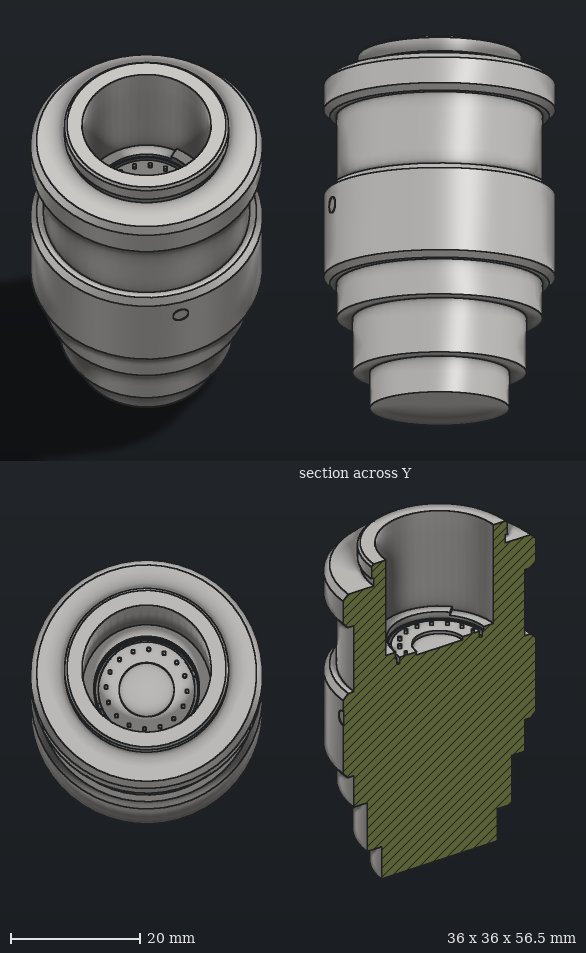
import cadquery as cq

total_height = 56.5
tail_diameter = 21.7
tail_top = 5.7
lower_step_diameter = 27.0
lower_step_top = 14.35
body_diameter = 32.0
grip_diameter = 36.0
grip_bottom = 19.95
grip_top = 35.0
flange_bottom = 46.6
flange_top = 52.6
grip_chamfer = 0.95
neck_diameter = 24.6
rim_diameter = 25.4
rim_bottom = 53.95
rim_chamfer = 0.4

bore_diameter = 20.0
ledge_z = 39.55
sector_start_angle = 135.0
key_sector_drop = 0.55
seat_diameter = 16.4
seat_z = 38.4
gap_diameter = 15.95
gap_floor_z = 37.3
insert_diameter = 15.0
rib_width = 0.9
rib_drop = 0.3
core_recess_diameter = 8.55
core_recess_depth = 0.55

pin_count = 16
pin_circle_diameter = 12.55
pin_diameter = 0.55
pin_height = 0.55

mark_diameter = 2.5
mark_depth = 0.1
mark_z = 30.85


def cylinder(diameter, bottom, top):
    return cq.Workplane("XY").workplane(offset=bottom).circle(diameter / 2).extrude(top - bottom)


def chamfered_ring(bottom, top):
    return cylinder(grip_diameter, bottom, top).edges("%CIRCLE").chamfer(grip_chamfer)


def make_body():
    body = cylinder(tail_diameter, 0, tail_top)
    body = body.union(cylinder(lower_step_diameter, tail_top, lower_step_top))
    body = body.union(cylinder(body_diameter, lower_step_top, flange_bottom))
    body = body.union(chamfered_ring(grip_bottom, grip_top))
    body = body.union(chamfered_ring(flange_bottom, flange_top))
    body = body.union(cylinder(neck_diameter, flange_top, rim_bottom))
    rim = cylinder(rim_diameter, rim_bottom, total_height).faces(">Z").edges().chamfer(rim_chamfer)
    return body.union(rim)


def make_socket():
    socket = cylinder(bore_diameter, ledge_z, total_height)
    socket = socket.union(cylinder(seat_diameter, seat_z, ledge_z))

    sector_bottom = ledge_z - key_sector_drop
    sector = (
        cq.Workplane("XY")
        .workplane(offset=sector_bottom)
        .rect(bore_diameter, bore_diameter, centered=False)
        .extrude(key_sector_drop)
        .rotate((0, 0, 0), (0, 0, 1), sector_start_angle)
        .intersect(cylinder(bore_diameter, sector_bottom, ledge_z))
    )
    socket = socket.union(sector)

    gap = cylinder(gap_diameter, gap_floor_z, seat_z).cut(cylinder(insert_diameter, gap_floor_z, seat_z))
    ribs = (
        cq.Workplane("XY")
        .workplane(offset=gap_floor_z)
        .rect(rib_width, gap_diameter)
        .extrude(seat_z - rib_drop - gap_floor_z)
    )
    socket = socket.union(gap.cut(ribs))
    return socket.union(cylinder(core_recess_diameter, seat_z - core_recess_depth, seat_z))


def make_pins():
    return (
        cq.Workplane("XY")
        .workplane(offset=seat_z)
        .polarArray(pin_circle_diameter / 2, 0, 360, pin_count)
        .circle(pin_diameter / 2)
        .extrude(pin_height)
    )


def make_index_mark():
    return (
        cq.Workplane("YZ")
        .workplane(offset=grip_diameter / 2 - mark_depth)
        .center(0, mark_z)
        .circle(mark_diameter / 2)
        .extrude(mark_depth)
    )


result = make_body().cut(make_socket()).union(make_pins()).cut(make_index_mark())